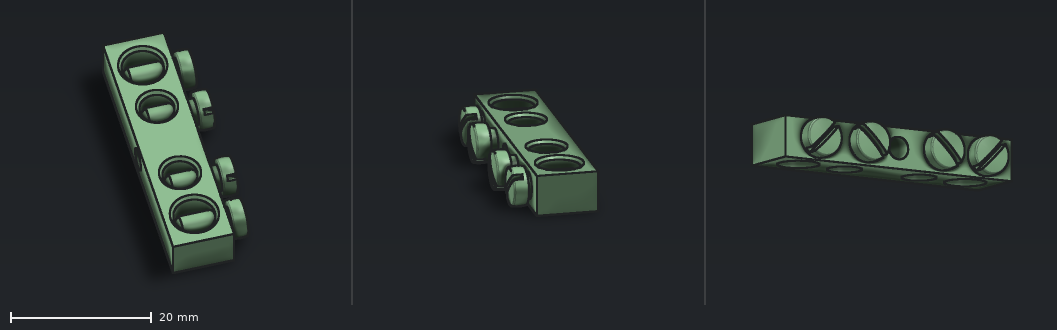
import cadquery as cq

BLOCK_LENGTH = 38.0
BLOCK_DEPTH = 9.0
BLOCK_HEIGHT = 6.0
MOUNTING_HOLE_DIAMETER = 3.24

OUTER_BORE_DIAMETER = 6.0
OUTER_BORE_OFFSET = 14.0
INNER_BORE_DIAMETER = 5.0
INNER_BORE_OFFSET = 6.25
BORE_CHAMFER = 0.5

SHANK_DIAMETER = 3.9
SHANK_LENGTH = 7.8
TIP_CHAMFER = 0.75
HEAD_DIAMETER = 5.82
HEAD_EDGE_DIAMETER = 5.66
HEAD_EDGE_ROUND = 0.2
HEAD_RIM_HEIGHT = 2.2
HEAD_HEIGHT = 2.51
SLOT_WIDTH = 0.8
SLOT_DEPTH = 1.72
SLOT_ANGLE = 45.0

INNER_HEAD_GAP = 1.15
OUTER_HEAD_GAP = 0.56

TERMINALS = []
for side in (-1, 1):
    TERMINALS.append((side * OUTER_BORE_OFFSET, OUTER_BORE_DIAMETER, OUTER_HEAD_GAP, -SLOT_ANGLE))
    TERMINALS.append((side * INNER_BORE_OFFSET, INNER_BORE_DIAMETER, INNER_HEAD_GAP, SLOT_ANGLE))


def hole_along_y(x, diameter, y_start, length):
    """Cylinder at mid height that runs from y_start toward +Y."""
    return cq.Workplane(cq.Solid.makeCylinder(
        diameter / 2, length, cq.Vector(x, y_start, 0), cq.Vector(0, 1, 0)))


def bore_cutter(x, diameter):
    """Through bore with a countersunk mouth on the upper face."""
    bore = cq.Workplane("XY").center(x, 0).circle(diameter / 2).extrude(BLOCK_HEIGHT, both=True)
    mouth = cq.Workplane(cq.Solid.makeCone(
        diameter / 2, diameter / 2 + BORE_CHAMFER, BORE_CHAMFER,
        cq.Vector(x, 0, BLOCK_HEIGHT / 2 - BORE_CHAMFER), cq.Vector(0, 0, 1)))
    return bore.union(mouth)


def make_block():
    body = cq.Workplane("XY").box(BLOCK_LENGTH, BLOCK_DEPTH, BLOCK_HEIGHT)
    body = body.cut(hole_along_y(0, MOUNTING_HOLE_DIAMETER, -BLOCK_DEPTH / 2, BLOCK_DEPTH))
    for x, bore_diameter, _, _ in TERMINALS:
        body = body.cut(bore_cutter(x, bore_diameter))
        body = body.cut(hole_along_y(x, SHANK_DIAMETER, 0, BLOCK_DEPTH / 2))
    return body


def make_screw(x, head_gap, slot_angle):
    """Slotted screw, turned about Y with the underside of its head at y = 0, then moved into place."""
    shank_radius = SHANK_DIAMETER / 2
    head_radius = HEAD_DIAMETER / 2
    edge_radius = HEAD_EDGE_DIAMETER / 2
    flat_radius = edge_radius - HEAD_EDGE_ROUND
    dome_rise = HEAD_HEIGHT - HEAD_RIM_HEIGHT
    dome_radius = (flat_radius ** 2 + dome_rise ** 2) / (2 * dome_rise)
    screw = (
        cq.Workplane("XY")
        .moveTo(0, -SHANK_LENGTH)
        .lineTo(shank_radius - TIP_CHAMFER, -SHANK_LENGTH)
        .lineTo(shank_radius, -SHANK_LENGTH + TIP_CHAMFER)
        .lineTo(shank_radius, 0)
        .lineTo(flat_radius, 0)
        .radiusArc((edge_radius, HEAD_EDGE_ROUND), -HEAD_EDGE_ROUND)
        .threePointArc((head_radius, HEAD_RIM_HEIGHT / 2), (edge_radius, HEAD_RIM_HEIGHT - HEAD_EDGE_ROUND))
        .radiusArc((flat_radius, HEAD_RIM_HEIGHT), -HEAD_EDGE_ROUND)
        .radiusArc((0, HEAD_HEIGHT), -dome_radius)
        .close()
        .revolve(360, (0, 0, 0), (0, 1, 0))
    )
    slot = (
        cq.Workplane("XY")
        .box(HEAD_DIAMETER * 2, SLOT_DEPTH, SLOT_WIDTH)
        .translate((0, HEAD_HEIGHT - SLOT_DEPTH / 2, 0))
        .rotate((0, 0, 0), (0, 1, 0), -slot_angle)
    )
    return screw.cut(slot).translate((x, BLOCK_DEPTH / 2 + head_gap, 0))


block = make_block()
screws = [make_screw(x, head_gap, slot_angle) for x, _, head_gap, slot_angle in TERMINALS]

result = cq.Compound.makeCompound([block.solids().val(), *[screw.solids().val() for screw in screws]])